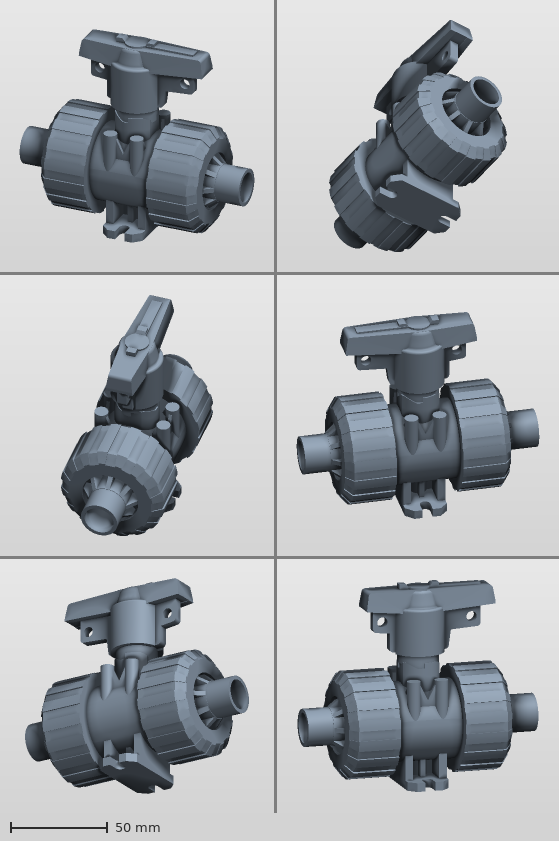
import cadquery as cq
import math


valve_bore_radius = 7.2
pipe_bore_radius = 8.0
pipe_radius = 10.0
pipe_end_x = 62.2

barrel_radius = 21.0
barrel_end_x = 33.6
flange_thickness = 3.7
flange_face_x = barrel_end_x + flange_thickness

neck_start_x = 48.5
neck_radius = 10.2
rib_count = 8
rib_width = 2.5
rib_slope = 0.8
rib_clearance = 0.1

nut_radius = 28.3
nut_inner_x = 17.7
nut_outer_x = 44.2
nut_cone_length = 3.9
nut_cone_drop = 5.0
nut_opening_radius = 15.3
grip_slot_count = 16
grip_slot_width = 5.2
grip_slot_depth = 0.93

post_radius = 3.6
post_x = 7.5
post_y = 16.9
post_top_z = 24.8
web_thickness = 1.7
web_top_z = 22.2
web_notch_z = 14.5
fin_length = 6.0
fin_top_z = 22.9
fin_end_z = 18.2
fin_angle = 20.0

foot_half_x = 11.2
foot_half_y = 22.0
foot_bottom_z = -33.0
foot_thickness = 4.6
foot_top_z = foot_bottom_z + foot_thickness
foot_chamfer = 4.2
foot_slot_width = 5.5
foot_slot_depth = 8.6
leg_thickness = 4.1
leg_half_y = 14.5
foot_boss_radius = 4.5
foot_rib_thickness = 2.7
foot_rib_half_y = 8.7
foot_overlap = 1.2

collar_radius = 11.6
collar_flat_x = 10.0
collar_rim_z = 32.6
stem_radius = 11.0
stem_seat_drop = 1.1
stem_top_z = 48.5
clutch_count = 4
clutch_depth = 2.9
clutch_low_width = 3.2
clutch_ramp_end = 8.8

sleeve_radius = 13.8
sleeve_bottom_z = 36.7
sleeve_top_z = 60.1
shoulder_radius = 1.4
hub_base_z = 62.5
hub_base_radius = 11.2
hub_rim_z = 69.0
hub_rim_radius = 9.6
hub_top_z = 70.5
hub_top_radius = 8.6
handle_slot_width = 7.1
handle_slot_top_z = 61.0

bar_left_x = -29.8
bar_right_x = 40.0
bar_top_z = 70.6
bar_corner_z = 62.4
bar_end_z = 60.9
bar_middle_z = 59.1
bar_flat_half = 10.6
bar_end_inset = 1.4
bar_end_fillet = 1.9
bar_corner_fillet = 6.2
bar_top_widths = (12.2, 16.2, 11.2)
bar_bottom_widths = (15.5, 18.4, 14.5)

plate_thickness = 5.0
plate_left_x = -25.0
plate_right_x = 33.1
plate_ear_z = 48.5
plate_step_z = 47.5
plate_bottom_z = 37.5
plate_left_step_x = -16.0
plate_right_step_x = 17.0
plate_right_bottom_x = 15.7
plate_fillet = 1.9
tag_hole_radius = 2.7
tag_hole_z = 53.8
tag_hole_xs = (-20.0, 28.3)

cap_radius = 6.3
cap_height = 1.0
cap_top_z = bar_top_z + cap_height
clip_top_z = 73.2
clip_outer_x = 10.7
clip_shoulder_x = 7.1
clip_inner_x = 5.7
clip_width = 5.1
strip_width = 5.6


def x_cylinder(radius, x_start, x_end):
    """Cylinder along the flow axis."""
    return cq.Workplane("YZ", origin=(x_start, 0, 0)).circle(radius).extrude(x_end - x_start)


def z_cylinder(radius, z_start, z_end, x=0, y=0):
    """Upright cylinder."""
    return cq.Workplane("XY", origin=(x, y, z_start)).circle(radius).extrude(z_end - z_start)


def block(x_range, y_range, z_range):
    """Box between the given limits along each axis."""
    sizes = [high - low for low, high in (x_range, y_range, z_range)]
    corner = (x_range[0], y_range[0], z_range[0])
    return cq.Workplane("XY").box(*sizes, centered=False).translate(corner)


def side_plate(points, thickness, y_center=0):
    """Plate with an XZ outline, centred on y_center."""
    plane = cq.Workplane("XZ", origin=(0, y_center, 0))
    return plane.polyline(points).close().extrude(thickness / 2, both=True)


def clutch_plug(radius, level):
    """Stem end: a cylinder above level with four ramped lugs hanging below it."""
    lug_outline = [
        (0, level),
        (0, level - clutch_depth),
        (-clutch_low_width, level - clutch_depth),
        (-clutch_ramp_end, level),
    ]
    lug = cq.Workplane("XZ").polyline(lug_outline).close().extrude(radius)
    lug = lug.intersect(z_cylinder(radius, level - clutch_depth, level))
    plug = z_cylinder(radius, level, stem_top_z)
    for index in range(clutch_count):
        plug = plug.union(lug.rotate((0, 0, 0), (0, 0, 1), index * 360 / clutch_count))
    return plug


def make_collar():
    """Stem collar with two side flats, a ramped rim and a matching stem socket."""
    collar = z_cylinder(collar_radius, 0, collar_rim_z)
    flats = block(
        (-collar_flat_x, collar_flat_x),
        (-collar_radius, collar_radius),
        (0, collar_rim_z),
    )
    collar = collar.intersect(flats)
    collar = collar.cut(clutch_plug(collar_radius, collar_rim_z))
    return collar.cut(clutch_plug(stem_radius, collar_rim_z - stem_seat_drop))


def make_post_web(side):
    """Thin web with a V notch that joins the two posts on one side."""
    outline = [
        (-post_x, 0),
        (post_x, 0),
        (post_x, web_top_z),
        (post_x - post_radius, web_top_z),
        (0, web_notch_z),
        (post_radius - post_x, web_top_z),
        (-post_x, web_top_z),
    ]
    return side_plate(outline, web_thickness, side * post_y)


def make_post_with_fin():
    """One post and its sloped fin, for the corner at +X and +Y."""
    post = z_cylinder(post_radius, 0, post_top_z, post_x, post_y)
    fin_outline = [
        (0, 0),
        (fin_length, 0),
        (fin_length, fin_end_z),
        (post_radius, fin_top_z),
        (0, fin_top_z),
    ]
    fin = side_plate(fin_outline, web_thickness)
    fin = fin.rotate((0, 0, 0), (0, 0, 1), fin_angle - 90)
    return post.union(fin.translate((post_x, post_y, 0)))


def make_foot():
    """Slotted foot plate with two legs, a centre boss and crossed ribs up to the barrel."""
    foot = block((-foot_half_x, foot_half_x), (-foot_half_y, foot_half_y), (foot_bottom_z, foot_top_z))
    foot = foot.edges("|Z").chamfer(foot_chamfer)
    slot_round = foot_slot_width / 2
    slot_center_y = foot_half_y - foot_slot_depth + slot_round
    for side in (-1, 1):
        y_limits = sorted((side * slot_center_y, side * foot_half_y))
        slot = block((-slot_round, slot_round), y_limits, (foot_bottom_z, foot_top_z))
        slot = slot.union(z_cylinder(slot_round, foot_bottom_z, foot_top_z, 0, side * slot_center_y))
        foot = foot.cut(slot)

    leg_top_z = -math.sqrt(barrel_radius**2 - leg_half_y**2) + foot_overlap
    leg_inner_x = foot_half_x - leg_thickness
    for x_limits in ((-foot_half_x, -leg_inner_x), (leg_inner_x, foot_half_x)):
        foot = foot.union(block(x_limits, (-leg_half_y, leg_half_y), (foot_top_z, leg_top_z)))

    half_rib = foot_rib_thickness / 2
    rib_z = (foot_top_z, -math.sqrt(barrel_radius**2 - foot_rib_half_y**2) + foot_overlap)
    foot = foot.union(z_cylinder(foot_boss_radius, *rib_z))
    foot = foot.union(block((-half_rib, half_rib), (-foot_rib_half_y, foot_rib_half_y), rib_z))
    return foot.union(block((-leg_inner_x, leg_inner_x), (-half_rib, half_rib), rib_z))


def make_housing():
    """Barrel with its foot, stem collar and four posts, bored through along X."""
    housing = x_cylinder(barrel_radius, -barrel_end_x, barrel_end_x)
    housing = housing.union(make_foot()).union(make_collar())
    corner = make_post_with_fin()
    mirrored_corner = corner.mirror("YZ")
    for quarter in (corner, mirrored_corner):
        housing = housing.union(quarter).union(quarter.mirror("XZ"))
    for side in (-1, 1):
        housing = housing.union(make_post_web(side))
    return housing.cut(x_cylinder(valve_bore_radius, -barrel_end_x, barrel_end_x))


def make_connector():
    """End connector on the +X side: flange, ribbed neck and plain pipe."""
    connector = x_cylinder(barrel_radius, barrel_end_x, flange_face_x)
    connector = connector.union(x_cylinder(neck_radius, flange_face_x, neck_start_x))
    connector = connector.union(x_cylinder(pipe_radius, neck_start_x, pipe_end_x))

    rib_top = nut_opening_radius - rib_clearance
    rib_outline = [
        (flange_face_x, pipe_bore_radius),
        (neck_start_x, pipe_bore_radius),
        (neck_start_x, pipe_radius),
        (neck_start_x - (rib_top - pipe_radius) / rib_slope, rib_top),
        (flange_face_x, rib_top),
    ]
    rib = side_plate(rib_outline, rib_width)
    for index in range(rib_count):
        connector = connector.union(rib.rotate((0, 0, 0), (1, 0, 0), index * 360 / rib_count))
    return connector.cut(x_cylinder(pipe_bore_radius, barrel_end_x, pipe_end_x))


def make_nut():
    """Union nut on the +X side: coned outer end and sixteen flat grip slots."""
    cone_start_x = nut_outer_x - nut_cone_length
    profile = [
        (nut_inner_x, barrel_radius),
        (nut_inner_x, nut_radius),
        (cone_start_x, nut_radius),
        (nut_outer_x, nut_radius - nut_cone_drop),
        (nut_outer_x, nut_opening_radius),
        (flange_face_x, nut_opening_radius),
        (flange_face_x, barrel_radius),
    ]
    nut = cq.Workplane("XZ").polyline(profile).close().revolve(360, (0, 0, 0), (1, 0, 0))

    slot_floor = nut_radius - grip_slot_depth
    slot_outline = [
        (nut_inner_x, slot_floor),
        (cone_start_x, slot_floor),
        (nut_outer_x, slot_floor - nut_cone_drop),
        (nut_outer_x, nut_radius),
        (nut_inner_x, nut_radius),
    ]
    slot = side_plate(slot_outline, grip_slot_width)
    for index in range(grip_slot_count):
        nut = nut.cut(slot.rotate((0, 0, 0), (1, 0, 0), index * 360 / grip_slot_count))
    return nut


def make_hub():
    """Turned sleeve with a rounded shoulder and a tapered hub."""
    shoulder_z = sleeve_top_z + shoulder_radius
    shoulder_x = sleeve_radius - shoulder_radius
    round_mid = shoulder_radius * math.sqrt(0.5)
    return (
        cq.Workplane("XZ")
        .moveTo(0, sleeve_bottom_z)
        .lineTo(sleeve_radius, sleeve_bottom_z)
        .lineTo(sleeve_radius, sleeve_top_z)
        .threePointArc((shoulder_x + round_mid, sleeve_top_z + round_mid), (shoulder_x, shoulder_z))
        .tangentArcPoint((hub_base_radius, hub_base_z), relative=False)
        .lineTo(hub_rim_radius, hub_rim_z)
        .tangentArcPoint((hub_top_radius, hub_top_z), relative=False)
        .lineTo(0, hub_top_z)
        .close()
        .revolve(360, (0, 0, 0), (0, 1, 0))
    )


def bar_section(z, widths):
    """Six-sided plan of the bar at height z: widths at the left end, the middle and the right end."""
    left, middle, right = (width / 2 for width in widths)
    points = [
        (bar_left_x, -left),
        (0, -middle),
        (bar_right_x, -right),
        (bar_right_x, right),
        (0, middle),
        (bar_left_x, left),
    ]
    return cq.Wire.makePolygon([cq.Vector(x, y, z) for x, y in points], close=True)


def make_bar():
    """Drafted bar trimmed to its side outline."""
    sections = [bar_section(bar_middle_z, bar_bottom_widths), bar_section(bar_top_z, bar_top_widths)]
    drafted = cq.Workplane(cq.Solid.makeLoft(sections, True))
    outline = [
        (bar_left_x, bar_end_z),
        (-bar_flat_half, bar_middle_z),
        (bar_flat_half, bar_middle_z),
        (bar_right_x, bar_end_z),
        (bar_right_x, bar_corner_z),
        (bar_right_x - bar_end_inset, bar_top_z),
        (bar_left_x + bar_end_inset, bar_top_z),
        (bar_left_x, bar_corner_z),
    ]
    side_outline = side_plate(outline, max(bar_bottom_widths))
    side_outline = side_outline.edges("|Y and >Z").fillet(bar_end_fillet)
    for x in (bar_left_x, bar_right_x):
        corner = cq.NearestToPointSelector((x, 0, bar_corner_z))
        side_outline = side_outline.edges(corner).fillet(bar_corner_fillet)
    return drafted.intersect(side_outline)


def make_plate():
    """Centre plate under the bar with a stepped lower outline and two tag holes."""
    outline = [
        (plate_left_x, handle_slot_top_z),
        (plate_left_x, plate_ear_z),
        (plate_left_step_x, plate_step_z),
        (plate_left_step_x, plate_bottom_z),
        (plate_right_bottom_x, plate_bottom_z),
        (plate_right_step_x, plate_step_z),
        (plate_right_x, plate_ear_z),
        (plate_right_x, handle_slot_top_z),
    ]
    plate = side_plate(outline, plate_thickness)
    rounded_corners = [
        (plate_left_x, plate_ear_z),
        (plate_left_step_x, plate_bottom_z),
        (plate_right_bottom_x, plate_bottom_z),
        (plate_right_x, plate_ear_z),
    ]
    for x, z in rounded_corners:
        plate = plate.edges(cq.NearestToPointSelector((x, 0, z))).fillet(plate_fillet)
    holes = cq.Workplane("XZ").pushPoints([(x, tag_hole_z) for x in tag_hole_xs])
    return plate.cut(holes.circle(tag_hole_radius).extrude(plate_thickness, both=True))


def make_top_marks():
    """Round cap, two clips beside it and a long raised strip."""
    marks = z_cylinder(cap_radius, bar_top_z, cap_top_z)
    clip_outline = [
        (clip_inner_x, bar_top_z),
        (clip_inner_x, cap_top_z),
        (clip_shoulder_x, clip_top_z),
        (clip_outer_x, clip_top_z),
        (clip_outer_x, bar_top_z),
    ]
    clip = side_plate(clip_outline, clip_width)
    marks = marks.union(clip).union(clip.mirror("YZ"))
    half_strip = strip_width / 2
    strip = block((clip_inner_x, plate_right_x), (-half_strip, half_strip), (bar_top_z, cap_top_z))
    return marks.union(strip)


def make_handle():
    """Slotted sleeve and bar around the centre plate, with the stem below."""
    half_slot = handle_slot_width / 2
    slot = block((bar_left_x, bar_right_x), (-half_slot, half_slot), (sleeve_bottom_z, handle_slot_top_z))
    handle = make_hub().union(make_bar()).cut(slot)
    handle = handle.union(clutch_plug(stem_radius, collar_rim_z - stem_seat_drop))
    return handle.union(make_plate()).union(make_top_marks())


housing = make_housing()
handle = make_handle()
connector = make_connector()
nut = make_nut()
connectors = [connector, connector.mirror("YZ")]
nuts = [nut, nut.mirror("YZ")]

result = cq.Compound.makeCompound(
    [
        housing.val(),
        handle.val(),
        *(body.val() for body in connectors),
        *(body.val() for body in nuts),
    ]
)